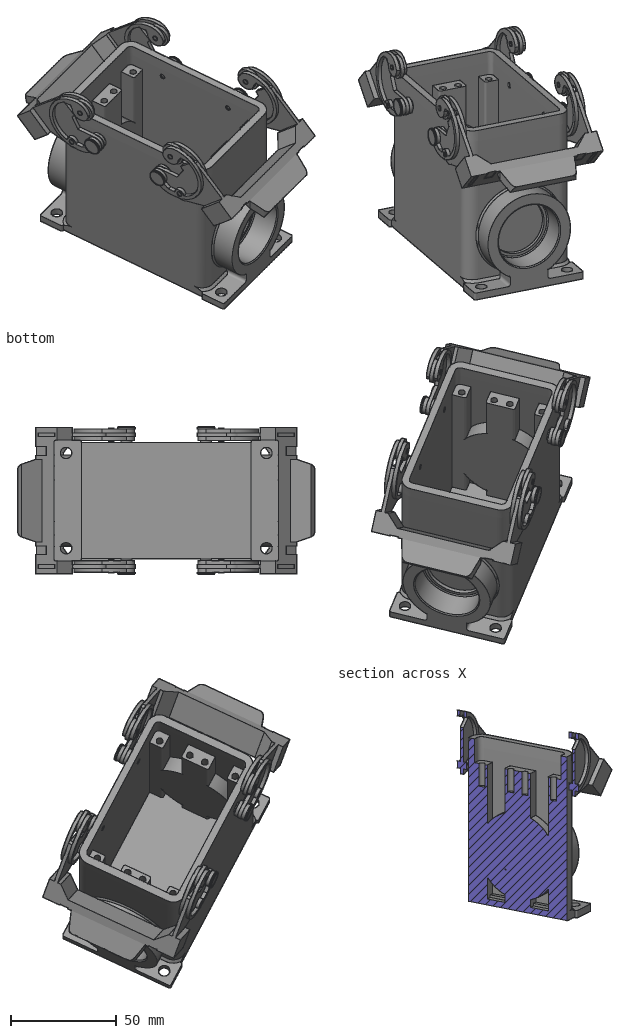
import cadquery as cq
import math

OVERALL_WIDTH = 69.8
FLARE_ANGLE = 45.0

BODY_LENGTH = 83.2
BODY_WIDTH = 55.1
BODY_TOP = 82.0
BODY_BASE = 0.4
BODY_CORNER_RADIUS = 6.2
BODY_ROOT_FLARE = 1.3
RIM_HEIGHT = 5.6
RIM_TAPER = 1.0
CAVITY_LENGTH = 75.3
CAVITY_WIDTH = 47.8
CAVITY_CORNER_RADIUS = 2.2
FLOOR_TOP = 3.7

POST_TOP = 70.2
POST_DEPTH = 7.5
CORNER_POST_INNER_Y = 16.9
MIDDLE_POST_WIDTH = 14.3
POST_CORNER_RADIUS = 1.0
POST_HOLE_X = 33.0
POST_HOLE_YS = (-20.0, -4.0, 4.0, 20.0)
POST_HOLE_RADIUS = 1.5
POST_HOLE_DEPTH = 11.2

FOOT_END_X = 53.0
FOOT_INNER_X = 40.0
FOOT_WIDTH = 57.0
FOOT_TOP = 3.7
FOOT_CORNER_RADIUS = 0.8
FOOT_HOLE_X = 47.3
FOOT_HOLE_Y = 22.5
FOOT_HOLE_RADIUS = 2.7

ENTRY_Z = 27.7
ENTRY_RADIUS = 21.6
ENTRY_ROOT_FLARE = 0.8
WEB_WIDTH = 19.7
WEB_FILLET = 1.4
BORE_RADIUS = 15.9
BORE_DEPTH = 12.8
BORE_EDGE_CHAMFER = 0.5
BORE_RECESS_RADIUS = 13.9
BORE_RECESS_DEPTH = 14.6

ARM_INNER_Y = 28.4
LAYER_THICKNESS = 1.8
PLATE_INNER_Y = ARM_INNER_Y + LAYER_THICKNESS
PLATE_OUTER_Y = PLATE_INNER_Y + LAYER_THICKNESS
ARM_OUTER_Y = PLATE_OUTER_Y + LAYER_THICKNESS

HOOK_CENTRE = (-28.5, 80.2)
HOOK_RADIUS = 15.2
HOOK_INNER_RADIUS = 13.3
HOOK_INNER_TOP_ANGLE = 122.0
HOOK_INNER_BOTTOM_ANGLE = 250.0
ROLLER_CENTRE = (-26.0, 89.6)
ROLLER_RADIUS = 5.6
HOOK_TIP_RADIUS = 4.5
RIVET_RADIUS = 1.3
RIVET_RISE = 0.4
HOOK_BROW = (-22.8, 92.5)
HOOK_CROOK = (-31.8, 91.6)
HOOK_ARM_TOP = ((-28.0, 67.9), (-24.9, 67.9), (-22.8, 69.3))
HOOK_BELLY = (-22.2, 65.9)
PLATE_THROAT = ((-37.5, 90.6), (-30.6, 84.3), (-31.9, 82.2), (-28.5, 76.1))
PLATE_HEEL = ((-28.5, 64.0), (-30.9, 62.8), (-33.7, 63.4))
EYELET_CENTRE = (-31.0, 67.7)
EYELET_RADIUS = 2.7
PIVOT_CENTRE = (-18.8, 72.0)
PIVOT_RADIUS = 4.0
PIVOT_NECK_RADIUS = 2.7
PIVOT_HEAD_RADIUS = 4.2
PIVOT_HEAD_Y = OVERALL_WIDTH / 2
PIVOT_HEAD_STEP = 0.4
PIVOT_END_RADIUS = 1.3
PIVOT_END_DEPTH = 0.7

HANDLE_CORNER = (-61.7, 68.8)
HANDLE_HEIGHT = 14.3
HANDLE_END_THICKNESS = 10.3
HANDLE_BAR_THICKNESS = 4.4
HANDLE_WIDTH = 69.1
HANDLE_RELIEF_OUTER_WIDTH = 57.0
HANDLE_RELIEF_INNER_WIDTH = 45.2
HANDLE_RECESS_DEPTH = 0.4
HANDLE_SLOT_TOP = 1.5
HANDLE_SLOT_LENGTH = 11.0
HANDLE_POCKET_INNER_Y = 21.4
HANDLE_POCKET_OUTER_Y = 25.5
HANDLE_POCKET_LENGTH = 6.7

GRIP_TIP_X = -70.2
GRIP_SHOULDER_X = HANDLE_CORNER[0]
GRIP_ROOT_X = -57.6
GRIP_PROFILE = (HANDLE_CORNER, (GRIP_TIP_X, 63.2), (-68.3, 60.0), (GRIP_ROOT_X, 66.6))
GRIP_TIP_WIDTH = 33.2
GRIP_ROOT_WIDTH = 39.0
GRIP_CORNER_RADIUS = 3.1


def box(x_range, y_range, z_range):
    """Axis-aligned block between the given limits."""
    lengths = [high - low for low, high in (x_range, y_range, z_range)]
    corner = (x_range[0], y_range[0], z_range[0])
    return cq.Workplane("XY", origin=corner).box(*lengths, centered=False)


def side_plane(y):
    """XZ workplane at the given Y; a negative extrusion runs towards +Y."""
    return cq.Workplane("XZ", origin=(0, y, 0))


def disc(centre, radius, y_from, y_to):
    """Round pin along Y."""
    return side_plane(y_from).center(*centre).circle(radius).extrude(y_from - y_to)


def on_circle(centre, radius, degrees):
    """Point in the XZ plane on a circle."""
    angle = math.radians(degrees)
    return (centre[0] + radius * math.cos(angle), centre[1] + radius * math.sin(angle))


def both_sides(shape, plane):
    """Shape joined with its mirror image."""
    return shape.union(shape.mirror(plane))


def body_shell():
    rim_base = BODY_TOP - RIM_HEIGHT
    lower = (
        cq.Workplane("XY", origin=(0, 0, BODY_BASE))
        .rect(BODY_LENGTH, BODY_WIDTH)
        .extrude(rim_base - BODY_BASE)
        .edges("|Z")
        .fillet(BODY_CORNER_RADIUS)
    )
    return lower.faces(">Z").wires().toPending().extrude(RIM_HEIGHT, taper=RIM_TAPER)


def cavity():
    lower = (
        cq.Workplane("XY", origin=(0, 0, FLOOR_TOP))
        .rect(CAVITY_LENGTH, CAVITY_WIDTH)
        .extrude(BODY_TOP - RIM_HEIGHT - FLOOR_TOP)
        .edges("|Z")
        .fillet(CAVITY_CORNER_RADIUS)
    )
    return lower.faces(">Z").wires().toPending().extrude(RIM_HEIGHT, taper=-RIM_TAPER)


def end_posts():
    """Screw posts and the inner stub of the cable entry at the -X end."""
    wall_x = -(CAVITY_LENGTH + BODY_LENGTH) / 4
    face_x = -CAVITY_LENGTH / 2 + POST_DEPTH
    wall_y = (CAVITY_WIDTH + BODY_WIDTH) / 4
    x_range = (wall_x, face_x)
    z_range = (FLOOR_TOP, POST_TOP)
    corner = box(x_range, (CORNER_POST_INNER_Y, wall_y), z_range)
    corner = corner.edges("|Z and >X and <Y").fillet(POST_CORNER_RADIUS)
    middle = box(x_range, (-MIDDLE_POST_WIDTH / 2, MIDDLE_POST_WIDTH / 2), z_range)
    middle = middle.edges("|Z and >X").fillet(POST_CORNER_RADIUS)
    stub = (
        cq.Workplane("YZ", origin=(wall_x, 0, 0))
        .center(0, ENTRY_Z)
        .circle(ENTRY_RADIUS)
        .extrude(face_x - wall_x)
    )
    holes = (
        cq.Workplane("XY", origin=(-POST_HOLE_X, 0, POST_TOP))
        .pushPoints([(0, y) for y in POST_HOLE_YS])
        .circle(POST_HOLE_RADIUS)
        .extrude(-POST_HOLE_DEPTH)
    )
    return both_sides(corner, "XZ").union(middle).union(stub).cut(holes)


def foot():
    """Mounting foot at the -X end, filling in under the rounded body corners."""
    half_width = FOOT_WIDTH / 2
    half_body = BODY_WIDTH / 2
    flat_start_x = BODY_LENGTH / 2 - BODY_CORNER_RADIUS
    plate = box((-FOOT_END_X, -FOOT_INNER_X), (-half_width, half_width), (0, FOOT_TOP))
    plate = plate.edges("|Z").fillet(FOOT_CORNER_RADIUS)
    fill_x = (-FOOT_INNER_X - FOOT_CORNER_RADIUS, -flat_start_x)
    corner_fill = box(fill_x, (-half_body, half_body), (BODY_BASE, FOOT_TOP))
    return plate.union(corner_fill)


def body_root():
    """Sloping flare where the -X end of the body meets its foot."""
    half_body = BODY_WIDTH / 2
    flat_start_x = BODY_LENGTH / 2 - BODY_CORNER_RADIUS
    flare_outline = cq.Sketch().rect(
        BODY_LENGTH + 2 * BODY_ROOT_FLARE,
        BODY_WIDTH + 2 * BODY_ROOT_FLARE,
    )
    flare_outline = flare_outline.vertices().fillet(BODY_CORNER_RADIUS + BODY_ROOT_FLARE)
    flare = (
        cq.Workplane("XY", origin=(0, 0, FOOT_TOP))
        .placeSketch(flare_outline)
        .extrude(BODY_ROOT_FLARE, taper=FLARE_ANGLE)
    )
    root_space = box((-FOOT_END_X, -flat_start_x), (-half_body, half_body), (FOOT_TOP, BODY_TOP))
    return flare.intersect(root_space)


def foot_holes():
    return (
        cq.Workplane("XY", origin=(-FOOT_HOLE_X, 0, 0))
        .pushPoints([(0, -FOOT_HOLE_Y), (0, FOOT_HOLE_Y)])
        .circle(FOOT_HOLE_RADIUS)
        .extrude(FOOT_TOP)
    )


def entry_boss():
    """Round boss on the -X wall, flared at its root."""
    wall_x = -BODY_LENGTH / 2
    wall = cq.Workplane("YZ", origin=(wall_x, 0, 0)).center(0, ENTRY_Z)
    boss = wall.circle(ENTRY_RADIUS).extrude(-FOOT_END_X - wall_x)
    flare = wall.circle(ENTRY_RADIUS + ENTRY_ROOT_FLARE).extrude(-ENTRY_ROOT_FLARE, taper=FLARE_ANGLE)
    return boss.union(flare)


def foot_with_web():
    """Foot at the -X end with the web that carries the boss."""
    wall_x = -BODY_LENGTH / 2
    web = box((-FOOT_END_X, wall_x), (-WEB_WIDTH / 2, WEB_WIDTH / 2), (0, ENTRY_Z))
    root_y = WEB_WIDTH / 2 + WEB_FILLET / 2
    around_root = cq.selectors.BoxSelector(
        (-FOOT_END_X, -root_y, FOOT_TOP - WEB_FILLET / 2),
        (wall_x, root_y, FOOT_TOP + WEB_FILLET / 2),
    )
    return foot().union(web).edges("|X").edges(around_root).fillet(WEB_FILLET).cut(foot_holes())


def entry_bore():
    """Stepped blind bore of the -X cable entry."""
    profile = [
        (0, 0),
        (0, BORE_RADIUS + BORE_EDGE_CHAMFER),
        (BORE_EDGE_CHAMFER, BORE_RADIUS),
        (BORE_DEPTH - BORE_EDGE_CHAMFER, BORE_RADIUS),
        (BORE_DEPTH, BORE_RADIUS - BORE_EDGE_CHAMFER),
        (BORE_DEPTH, BORE_RECESS_RADIUS),
        (BORE_RECESS_DEPTH, BORE_RECESS_RADIUS),
        (BORE_RECESS_DEPTH, 0),
    ]
    half_section = cq.Workplane("XZ", origin=(-FOOT_END_X, 0, ENTRY_Z)).polyline(profile).close()
    return half_section.revolve(360, (0, 0, 0), (1, 0, 0))


def handle_point(across, along):
    """(x, z) in the handle: across its thickness, then down along its length."""
    diagonal = math.sqrt(0.5)
    return (
        HANDLE_CORNER[0] + diagonal * (across + along),
        HANDLE_CORNER[1] + diagonal * (across - along),
    )


def face_recess(y_range, top, length):
    """Shallow recess in the outer face of the handle, starting a distance down from its top edge."""
    outline = [
        handle_point(0, top),
        handle_point(HANDLE_RECESS_DEPTH, top),
        handle_point(HANDLE_RECESS_DEPTH, top + length),
        handle_point(0, top + length),
    ]
    return side_plane(y_range[0]).polyline(outline).close().extrude(y_range[0] - y_range[1])


def handle():
    """45-degree bar whose back is relieved between the thick ends."""
    outline = [
        handle_point(0, 0),
        handle_point(HANDLE_END_THICKNESS, 0),
        handle_point(HANDLE_END_THICKNESS, HANDLE_HEIGHT),
        handle_point(0, HANDLE_HEIGHT),
    ]
    bar = side_plane(-HANDLE_WIDTH / 2).polyline(outline).close().extrude(-HANDLE_WIDTH)
    top_x, top_z = HANDLE_CORNER
    handle_plane = cq.Plane(origin=(top_x, 0, top_z), xDir=(0, 1, 0), normal=(1, 0, -1))
    outer = HANDLE_RELIEF_OUTER_WIDTH / 2
    inner = HANDLE_RELIEF_INNER_WIDTH / 2
    back = HANDLE_END_THICKNESS
    front = HANDLE_BAR_THICKNESS
    relief = (
        cq.Workplane(handle_plane)
        .polyline([(-outer, back), (-inner, front), (inner, front), (outer, back)])
        .close()
        .extrude(HANDLE_HEIGHT)
    )
    slot = face_recess((PLATE_INNER_Y, PLATE_OUTER_Y), HANDLE_SLOT_TOP, HANDLE_SLOT_LENGTH)
    pocket = face_recess((HANDLE_POCKET_INNER_Y, HANDLE_POCKET_OUTER_Y), 0, HANDLE_POCKET_LENGTH)
    return bar.cut(relief).cut(both_sides(slot.union(pocket), "XZ"))


def grip():
    """Sloping finger tab, narrower towards its rounded tip."""
    slab = side_plane(-GRIP_ROOT_WIDTH / 2).polyline(GRIP_PROFILE).close().extrude(-GRIP_ROOT_WIDTH)
    tip = GRIP_TIP_WIDTH / 2
    root = GRIP_ROOT_WIDTH / 2
    outline = (
        cq.Workplane("XY")
        .polyline([
            (GRIP_TIP_X, -tip),
            (GRIP_SHOULDER_X, -root),
            (GRIP_ROOT_X, -root),
            (GRIP_ROOT_X, root),
            (GRIP_SHOULDER_X, root),
            (GRIP_TIP_X, tip),
        ])
        .close()
        .extrude(BODY_TOP)
        .edges("|Z and <X")
        .fillet(GRIP_CORNER_RADIUS)
    )
    return slab.intersect(outline)


def arm_plate():
    """Middle layer of a lever arm, from the handle to the pivot."""
    pivot_x, pivot_z = PIVOT_CENTRE
    outline = (
        side_plane(PLATE_INNER_Y)
        .moveTo(*handle_point(HANDLE_END_THICKNESS, 0))
        .lineTo(*on_circle(HOOK_CENTRE, HOOK_RADIUS, 135))
        .polyline(PLATE_THROAT, includeCurrent=True)
        .lineTo(pivot_x, pivot_z + PIVOT_HEAD_RADIUS)
        .threePointArc((pivot_x + PIVOT_HEAD_RADIUS, pivot_z), (pivot_x, pivot_z - PIVOT_HEAD_RADIUS))
        .lineTo(*PLATE_HEEL[0])
        .threePointArc(*PLATE_HEEL[1:])
        .lineTo(*handle_point(HANDLE_END_THICKNESS, HANDLE_HEIGHT))
        .close()
    )
    return outline.extrude(PLATE_INNER_Y - PLATE_OUTER_Y)


def hook_layer(inner_y):
    """C-shaped hook curling from the pivot round to the roller."""
    pivot_x, pivot_z = PIVOT_CENTRE
    hook = (
        side_plane(inner_y)
        .moveTo(*on_circle(HOOK_CENTRE, HOOK_RADIUS, 270))
        .threePointArc(
            on_circle(HOOK_CENTRE, HOOK_RADIUS, 180),
            on_circle(HOOK_CENTRE, HOOK_RADIUS, 90),
        )
        .threePointArc(HOOK_BROW, on_circle(ROLLER_CENTRE, HOOK_TIP_RADIUS, 0))
        .threePointArc(
            on_circle(ROLLER_CENTRE, HOOK_TIP_RADIUS, 270),
            on_circle(ROLLER_CENTRE, HOOK_TIP_RADIUS, 180),
        )
        .lineTo(*HOOK_CROOK)
        .lineTo(*on_circle(HOOK_CENTRE, HOOK_INNER_RADIUS, HOOK_INNER_TOP_ANGLE))
        .threePointArc(
            on_circle(HOOK_CENTRE, HOOK_INNER_RADIUS, 180),
            on_circle(HOOK_CENTRE, HOOK_INNER_RADIUS, HOOK_INNER_BOTTOM_ANGLE),
        )
        .polyline((*HOOK_ARM_TOP, PIVOT_CENTRE), includeCurrent=True)
        .lineTo(pivot_x, pivot_z - PIVOT_RADIUS)
        .threePointArc(HOOK_BELLY, on_circle(HOOK_CENTRE, HOOK_RADIUS, 270))
        .close()
        .extrude(-LAYER_THICKNESS)
    )
    return hook.union(disc(EYELET_CENTRE, EYELET_RADIUS, inner_y, inner_y + LAYER_THICKNESS))


def pivot():
    """Stepped pin that carries a lever arm on the body wall."""
    neck_start_y = (CAVITY_WIDTH + BODY_WIDTH) / 4
    neck = disc(PIVOT_CENTRE, PIVOT_NECK_RADIUS, neck_start_y, ARM_INNER_Y)
    shaft = disc(PIVOT_CENTRE, PIVOT_RADIUS, ARM_INNER_Y, PIVOT_HEAD_Y)
    head = disc(PIVOT_CENTRE, PIVOT_HEAD_RADIUS, ARM_OUTER_Y, PIVOT_HEAD_Y - PIVOT_HEAD_STEP)
    return neck.union(shaft).union(head)


def lever_arm():
    arm = arm_plate().union(hook_layer(ARM_INNER_Y)).union(hook_layer(PLATE_OUTER_Y))
    roller = disc(ROLLER_CENTRE, ROLLER_RADIUS, PLATE_INNER_Y, PLATE_OUTER_Y)
    rivet = disc(ROLLER_CENTRE, RIVET_RADIUS, ARM_INNER_Y - RIVET_RISE, ARM_OUTER_Y + RIVET_RISE)
    eyelet_dimple = disc(EYELET_CENTRE, RIVET_RADIUS, ARM_OUTER_Y - RIVET_RISE, ARM_OUTER_Y)
    return arm.union(roller).union(rivet).cut(eyelet_dimple).union(pivot())


def lever():
    """Complete -X lever: two arms joined by the handle."""
    return both_sides(lever_arm(), "XZ").union(handle()).union(grip())


def pivot_end_dimples():
    """Shallow dimples inside the cavity behind the pivots."""
    wall_y = CAVITY_WIDTH / 2
    return both_sides(disc(PIVOT_CENTRE, PIVOT_END_RADIUS, wall_y, wall_y + PIVOT_END_DEPTH), "XZ")


end = foot_with_web().union(body_root()).union(entry_boss()).union(end_posts())
housing = body_shell().cut(cavity())
housing = housing.union(both_sides(end, "YZ"))
housing = housing.cut(both_sides(entry_bore(), "YZ"))
housing = housing.cut(both_sides(pivot_end_dimples(), "YZ"))
result = housing.union(both_sides(lever(), "YZ"))